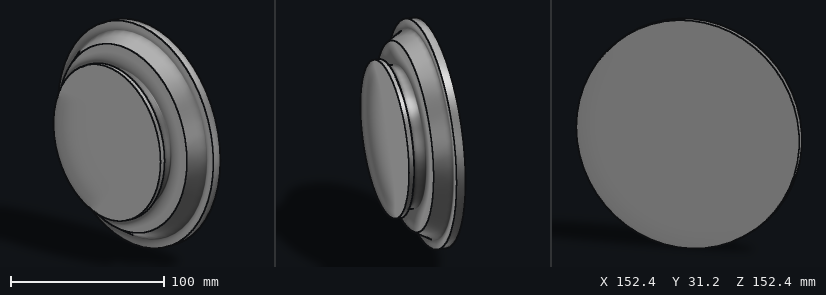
import cadquery as cq
import math

total_length = 31.2
flange_thickness = 6.2
cone_end = 17.8
rim_thickness = 3.5

flange_radius = 76.2
cone_small_radius = 63.2
neck_radius = 47.5
rim_radius = 52.5

cone_half_angle = 30.0
rim_taper_angle = 18.0
flange_blend = 0.8
neck_blend = 0.8

cone_length = cone_end - flange_thickness
cone_large_radius = cone_small_radius + cone_length * math.tan(math.radians(cone_half_angle))
rim_start = total_length - rim_thickness
taper_length = (rim_radius - neck_radius) * math.tan(math.radians(rim_taper_angle))
taper_start = rim_start - taper_length

back = total_length / 2
profile = [
    (0, back),
    (flange_radius, back),
    (flange_radius, back - flange_thickness),
    (cone_large_radius, back - flange_thickness),
    (cone_small_radius, back - cone_end),
    (neck_radius, back - cone_end),
    (neck_radius, back - taper_start),
    (rim_radius, back - rim_start),
    (rim_radius, back - total_length),
    (0, back - total_length),
]
body = cq.Workplane("XY").polyline(profile).close().revolve(360, (0, 0, 0), (0, 1, 0))


def blend_corner(solid, radius, depth, blend):
    """Fillet the circular edge of a given radius at a depth below the flange back."""
    margin = 0.2
    reach = radius + margin
    low = (-reach, back - depth - margin, -reach)
    high = (reach, back - depth + margin, reach)
    corner = cq.selectors.BoxSelector(low, high, boundingbox=True)
    largest = cq.selectors.RadiusNthSelector(-1)
    return solid.edges(corner).edges(largest).fillet(blend)


body = blend_corner(body, cone_large_radius, flange_thickness, flange_blend)
body = blend_corner(body, neck_radius, cone_end, neck_blend)

result = body